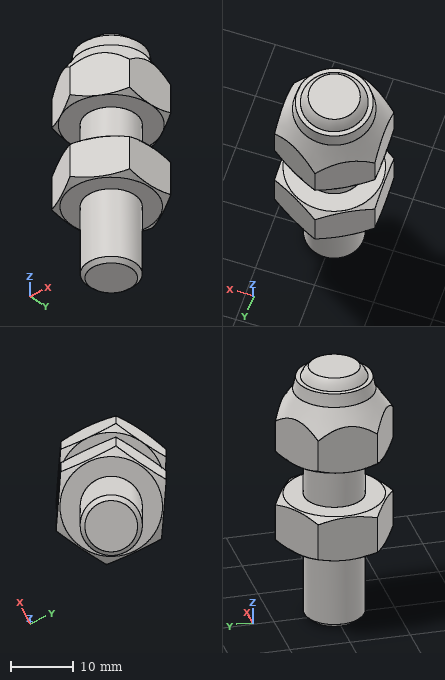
import cadquery as cq
import math

total_height = 45.0
across_flats = 17.0
corner_radius = across_flats / math.sqrt(3)

stud_radius = 5.0
stud_chamfer = 0.75

chamfer_height = 0.85

lock_nut_bottom = 14.0
lock_nut_height = 8.0
lock_face_radius = 8.25

cap_nut_bottom = 30.0
cap_face_radius = across_flats / 2
cap_corner_top = 36.3
collar_bottom = 41.0
collar_top = 43.2
collar_bottom_radius = 6.7
collar_top_radius = 6.25

plug_radius = 5.45
plug_top_radius = 4.2
plug_bulge = 0.112


def hexagon(bottom, top):
    """Hexagonal prism with two flats facing the X directions."""
    corners = [
        (
            corner_radius * math.cos(math.radians(30 + 60 * i)),
            corner_radius * math.sin(math.radians(30 + 60 * i)),
        )
        for i in range(6)
    ]
    return cq.Workplane("XY", origin=(0, 0, bottom)).polyline(corners).close().extrude(top - bottom)


def revolve_profile(profile):
    """Turn a closed (radius, height) profile about the Z axis."""
    return profile.close().revolve(360, (0, 0, 0), (0, 1, 0))


def make_stud():
    stud = cq.Workplane("XY").circle(stud_radius).extrude(collar_bottom)
    return stud.faces("<Z").chamfer(stud_chamfer)


def make_lock_nut():
    top = lock_nut_bottom + lock_nut_height
    envelope = revolve_profile(
        cq.Workplane("XZ")
        .moveTo(0, lock_nut_bottom)
        .lineTo(lock_face_radius, lock_nut_bottom)
        .lineTo(corner_radius, lock_nut_bottom + chamfer_height)
        .lineTo(corner_radius, top - chamfer_height)
        .lineTo(lock_face_radius, top)
        .lineTo(0, top)
    )
    return hexagon(lock_nut_bottom, top).intersect(envelope)


def make_cap_nut():
    envelope = revolve_profile(
        cq.Workplane("XZ")
        .moveTo(0, cap_nut_bottom)
        .lineTo(cap_face_radius, cap_nut_bottom)
        .lineTo(corner_radius, cap_nut_bottom + chamfer_height)
        .lineTo(corner_radius, cap_corner_top)
        .lineTo(collar_bottom_radius, collar_bottom)
        .lineTo(collar_top_radius, collar_top)
        .lineTo(0, collar_top)
    )
    return hexagon(cap_nut_bottom, collar_top).intersect(envelope)


def make_plug():
    bulge_point = (
        (plug_radius + plug_top_radius) / 2 + plug_bulge,
        (collar_top + total_height) / 2 + plug_bulge,
    )
    return revolve_profile(
        cq.Workplane("XZ")
        .moveTo(0, collar_bottom)
        .lineTo(plug_radius, collar_bottom)
        .lineTo(plug_radius, collar_top)
        .threePointArc(bulge_point, (plug_top_radius, total_height))
        .lineTo(0, total_height)
    )


result = make_stud().union(make_lock_nut()).union(make_cap_nut()).union(make_plug())